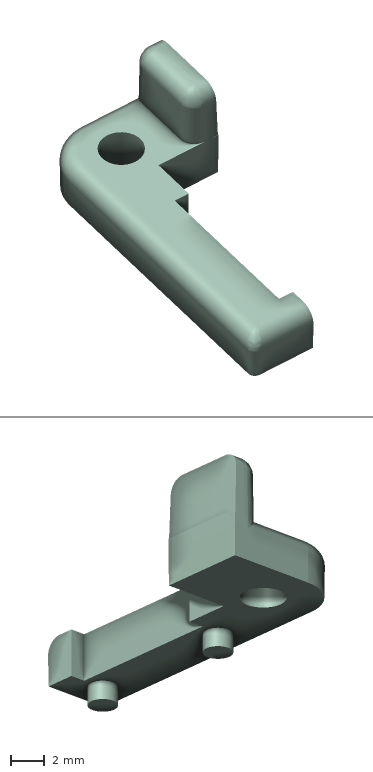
import cadquery as cq
import math

LENGTH = 21.25
DEPTH = 8.8
PLATE_TOP = 3.02
EDGE_RADIUS = 1.0
LEFT_CORNER_RADIUS = 2.97
RIGHT_CORNER_RADIUS = 0.53
ARM_DEPTH = 4.42
NOTCH_LEFT = 8.84
NOTCH_RIGHT = 19.2
NOTCH_FLOOR = 3.4

TAB_WIDTH = 5.85
TAB_FRONT = 6.73
TAB_TOP = 6.85
DRAFT = 0.7
BACK_DRAFT = 2.0
BASE_DRAFT = 1.0
PARTING_HEIGHT = PLATE_TOP - EDGE_RADIUS

HOLE_X = 3.4
HOLE_Y = 3.48
HOLE_DIAMETER = 2.78
PIN_DIAMETER = 1.8
PIN_LENGTH = 1.2
PIN_Y = 2.0
PIN_XS = (9.0, 19.12)


def make_plate():
    """L-shaped plate with a notched arm and rounded left, front and right top edges."""
    outline = [
        (0, 0),
        (LENGTH, 0),
        (LENGTH, ARM_DEPTH),
        (NOTCH_RIGHT, ARM_DEPTH),
        (NOTCH_RIGHT, NOTCH_FLOOR),
        (NOTCH_LEFT, NOTCH_FLOOR),
        (NOTCH_LEFT, ARM_DEPTH),
        (TAB_WIDTH, ARM_DEPTH),
        (TAB_WIDTH, DEPTH),
        (0, DEPTH),
    ]
    plate = cq.Workplane("XY").polyline(outline).close().extrude(PLATE_TOP)
    return plate.intersect(make_edge_envelope())


def make_edge_envelope():
    """Rectangular block with rounded corners and top edges, tapering inward below the parting height."""
    block = cq.Workplane("XY").box(LENGTH, DEPTH, PLATE_TOP, centered=False)
    block = block.edges("|Z and <X and <Y").fillet(LEFT_CORNER_RADIUS)
    block = block.edges("|Z and >X and <Y").fillet(RIGHT_CORNER_RADIUS)
    upper = block.faces(">Z").edges("not >Y").fillet(EDGE_RADIUS)
    upper = upper.intersect(
        cq.Workplane("XY", origin=(0, 0, PARTING_HEIGHT)).box(LENGTH, DEPTH, EDGE_RADIUS, centered=False)
    )
    lower = (
        cq.Workplane("XY", origin=(0, 0, PARTING_HEIGHT))
        .add(block.faces("<Z").wires().val().translate(cq.Vector(0, 0, PARTING_HEIGHT)))
        .toPending()
        .extrude(-PARTING_HEIGHT, taper=BASE_DRAFT)
    )
    return upper.union(lower)


def make_tab():
    """Drafted upright with rounded front corners and top edges."""
    height = TAB_TOP - PARTING_HEIGHT
    inset = height * math.tan(math.radians(DRAFT))
    back_inset = height * math.tan(math.radians(BACK_DRAFT))
    top_depth = DEPTH - TAB_FRONT - inset - back_inset
    tab = (
        cq.Workplane("XY", origin=(0, TAB_FRONT, PARTING_HEIGHT))
        .polyline([(0, 0), (TAB_WIDTH, 0), (TAB_WIDTH, DEPTH - TAB_FRONT), (0, DEPTH - TAB_FRONT)])
        .close()
        .workplane(offset=height)
        .polyline([
            (inset, inset),
            (TAB_WIDTH - inset, inset),
            (TAB_WIDTH - inset, inset + top_depth),
            (inset, inset + top_depth),
        ])
        .close()
        .loft(ruled=True)
    )
    tab = tab.faces("<Y").edges("<X or >X").fillet(EDGE_RADIUS)
    return tab.faces(">Z").edges("not >Y").fillet(EDGE_RADIUS)


def make_pin(x):
    """Round pin hanging below the plate."""
    return (
        cq.Workplane("XY", origin=(x, PIN_Y, PARTING_HEIGHT))
        .circle(PIN_DIAMETER / 2)
        .extrude(-PARTING_HEIGHT - PIN_LENGTH)
    )


result = make_plate().union(make_tab())
for pin_x in PIN_XS:
    result = result.union(make_pin(pin_x))
hole = (
    cq.Workplane("XY", origin=(HOLE_X, HOLE_Y, 0))
    .circle(HOLE_DIAMETER / 2)
    .extrude(PLATE_TOP)
)
result = result.cut(hole)